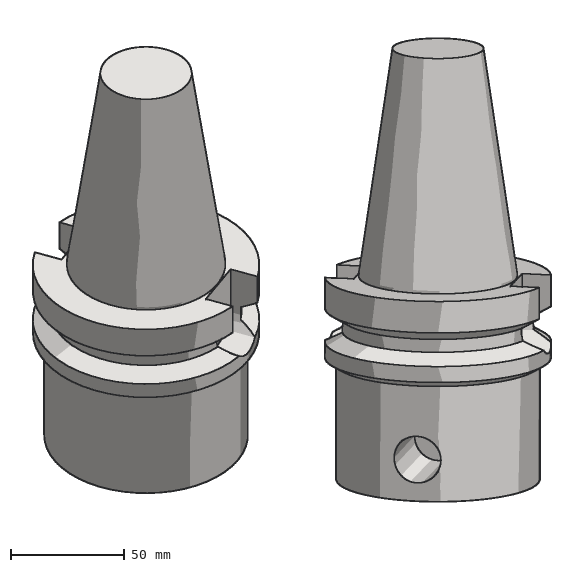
import cadquery as cq

total_height = 194.8
flange_radius = 100.0 / 2

nose_radius = 90.0 / 2
nose_height = 52.2

lower_rim_bottom = 55.1
lower_rim_top = 62.3
groove_floor_bottom = 67.0
groove_floor_top = 72.9
upper_rim_bottom = 77.5
flange_top = 91.8
groove_radius = 84.5 / 2

gauge_height = 93.1
taper_large_radius = 70.0 / 2
taper_small_radius = 40.3 / 2

slot_width = 25.3
slot_bottom = 59.5
slot_floor_x = 35.3

screw_hole_diameter = 21.0
screw_hole_height = 18.9


def turned_body():
    """Nose, grooved flange and taper, revolved about Z."""
    profile = [
        (0, 0),
        (nose_radius, 0),
        (nose_radius, nose_height),
        (flange_radius, lower_rim_bottom),
        (flange_radius, lower_rim_top),
        (groove_radius, groove_floor_bottom),
        (groove_radius, groove_floor_top),
        (flange_radius, upper_rim_bottom),
        (flange_radius, flange_top),
        (taper_large_radius, flange_top),
        (taper_large_radius, gauge_height),
        (taper_small_radius, total_height),
        (0, total_height),
    ]
    return cq.Workplane("XZ").polyline(profile).close().revolve(360, (0, 0, 0), (0, 1, 0))


def drive_slot(side):
    """Round-bottomed slot cutter, open at the top, on the -X (-1) or +X (+1) side."""
    half_width = slot_width / 2
    arc_center_height = slot_bottom + half_width
    return (
        cq.Workplane("YZ", origin=(side * slot_floor_x, 0, 0))
        .moveTo(-half_width, flange_top)
        .lineTo(-half_width, arc_center_height)
        .threePointArc((0, slot_bottom), (half_width, arc_center_height))
        .lineTo(half_width, flange_top)
        .close()
        .extrude(side * flange_radius)
    )


def screw_hole():
    """Radial hole cutter running from the axis out through the +Y wall."""
    return (
        cq.Workplane("XZ", origin=(0, 0, screw_hole_height))
        .circle(screw_hole_diameter / 2)
        .extrude(-flange_radius)
    )


result = turned_body()
for side in (-1, 1):
    result = result.cut(drive_slot(side))
result = result.cut(screw_hole())